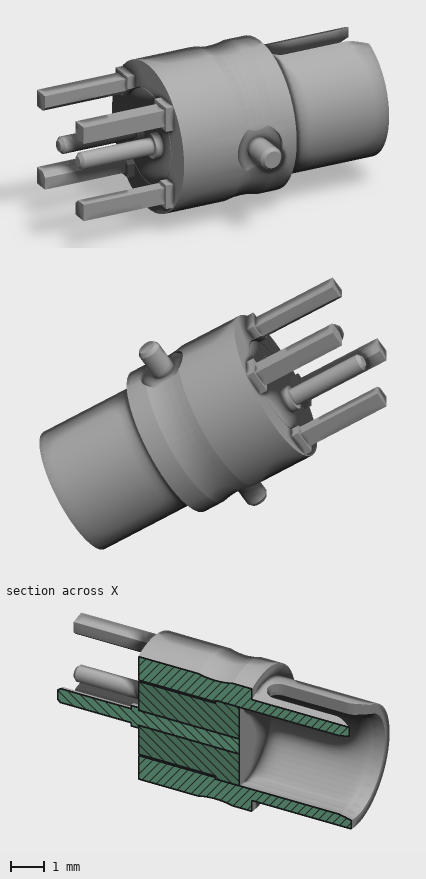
import cadquery as cq


total_length = 10.01
width_over_pegs = 6.35

body_radius = 2.35
body_length = 3.77
barrel_radius = 1.97
barrel_length = 3.29
mouth_y = body_length + barrel_length

mouth_radius = 1.66
mouth_taper_length = 0.42
bore_radius = 1.57
rear_hole_radius = 1.52

slot_width = 0.75
slot_length = 3.07
flare_width = 1.34
flare_length = 0.52
flare_blend_radius = 0.55

groove_y = 2.55
groove_width = 1.14
groove_depth = 0.075
spot_radius = 0.75
spot_x = 2.2
peg_radius = 0.35
peg_chamfer_length = 0.12
peg_chamfer_height = 0.08

leg_pitch = 2.53
leg_width = 0.53
leg_length = total_length - mouth_y
standoff_width = 0.77
standoff_height = 0.24
pin_pitch = leg_pitch / 2
pin_radius = leg_width / 2
pin_length = 2.68
pin_chamfer_length = 0.1
pin_chamfer_height = 0.1

spigot_radius = 1.49
flange_length = 0.8
step_y = groove_y
insulator_length = step_y + flange_length


def disc(radius, y_start, y_end, x=0.0):
    """Cylinder along Y between two Y positions, on the plane Z = 0."""
    return (
        cq.Workplane("XZ", origin=(x, y_start, 0))
        .circle(radius)
        .extrude(y_start - y_end)
    )


def square_bar(width, length, x, z):
    """Square bar that runs from the rear face of the body towards -Y."""
    return cq.Workplane("XZ", origin=(x, 0, z)).rect(width, width).extrude(length)


def grooved_body():
    """Body with its shallow round groove, revolved about Y."""
    groove_start = groove_y - groove_width / 2
    groove_end = groove_y + groove_width / 2
    return (
        cq.Workplane("XY")
        .lineTo(body_radius, 0)
        .lineTo(body_radius, groove_start)
        .threePointArc((body_radius - groove_depth, groove_y), (body_radius, groove_end))
        .lineTo(body_radius, body_length)
        .lineTo(0, body_length)
        .close()
        .revolve(360, (0, 0, 0), (0, 1, 0))
    )


def spot_cut(side):
    """Round cutter that leaves a flat spot on one side of the body."""
    return (
        cq.Workplane("YZ", origin=(side * spot_x, groove_y, 0))
        .circle(spot_radius)
        .extrude(side * body_radius)
    )


def peg(side):
    """Side peg with a chamfered tip, rooted in the body wall below its flat spot."""
    root_x = (spot_x + bore_radius) / 2
    tip_x = width_over_pegs / 2
    return (
        cq.Workplane("XY")
        .moveTo(side * root_x, groove_y)
        .lineTo(side * root_x, groove_y + peg_radius)
        .lineTo(side * (tip_x - peg_chamfer_length), groove_y + peg_radius)
        .lineTo(side * tip_x, groove_y + peg_radius - peg_chamfer_height)
        .lineTo(side * tip_x, groove_y)
        .close()
        .revolve(360, (0, groove_y, 0), (1, groove_y, 0))
    )


def bore_cut():
    """Stepped cutter for the bore. It passes the leg ends, so it also trims the legs."""
    taper_y = mouth_y - mouth_taper_length
    return (
        cq.Workplane("XY")
        .moveTo(0, -leg_length)
        .lineTo(rear_hole_radius, -leg_length)
        .lineTo(rear_hole_radius, step_y)
        .lineTo(bore_radius, step_y)
        .lineTo(bore_radius, taper_y)
        .lineTo(mouth_radius, mouth_y)
        .lineTo(0, mouth_y)
        .close()
        .revolve(360, (0, 0, 0), (0, 1, 0))
    )


def slot_cut():
    """Key slot cutter: round inner end, straight sides and a blended flare at the mouth."""
    half_slot = slot_width / 2
    half_flare = flare_width / 2
    flare_y = mouth_y - flare_length
    end_y = mouth_y - slot_length
    slot = (
        cq.Workplane("XY")
        .moveTo(-half_flare, mouth_y)
        .lineTo(-half_slot, flare_y)
        .lineTo(-half_slot, end_y + half_slot)
        .threePointArc((0, end_y), (half_slot, end_y + half_slot))
        .lineTo(half_slot, flare_y)
        .lineTo(half_flare, mouth_y)
        .close()
        .extrude(body_radius)
    )
    flare_corners = cq.selectors.BoxSelector(
        (-half_flare, flare_y - half_slot, 0), (half_flare, flare_y + half_slot, body_radius)
    )
    return slot.edges("|Z").edges(flare_corners).fillet(flare_blend_radius)


def make_housing():
    housing = grooved_body().union(disc(barrel_radius, body_length, mouth_y))
    for side in (-1, 1):
        housing = housing.cut(spot_cut(side)).union(peg(side))
    for x in (-leg_pitch / 2, leg_pitch / 2):
        for z in (-leg_pitch / 2, leg_pitch / 2):
            housing = housing.union(square_bar(standoff_width, standoff_height, x, z))
            housing = housing.union(square_bar(leg_width, leg_length, x, z))
    return housing.cut(bore_cut()).cut(slot_cut())


def make_insulator():
    insulator = disc(spigot_radius, 0, step_y).union(disc(bore_radius, step_y, insulator_length))
    for x in (-pin_pitch / 2, pin_pitch / 2):
        insulator = insulator.cut(disc(pin_radius, 0, insulator_length, x))
    return insulator


def make_pin(x):
    """Pin through the insulator, with a collar against its rear face and a chamfered tip."""
    return (
        cq.Workplane("XY", origin=(x, 0, 0))
        .moveTo(0, insulator_length)
        .lineTo(pin_radius, insulator_length)
        .lineTo(pin_radius, 0)
        .lineTo(standoff_width / 2, 0)
        .lineTo(standoff_width / 2, -standoff_height)
        .lineTo(pin_radius, -standoff_height)
        .lineTo(pin_radius, pin_chamfer_length - pin_length)
        .lineTo(pin_radius - pin_chamfer_height, -pin_length)
        .lineTo(0, -pin_length)
        .close()
        .revolve(360, (0, 0, 0), (0, 1, 0))
    )


housing = make_housing()
insulator = make_insulator()
pins = [make_pin(x) for x in (-pin_pitch / 2, pin_pitch / 2)]

result = cq.Compound.makeCompound(
    [housing.val(), insulator.val(), *[pin.val() for pin in pins]]
)